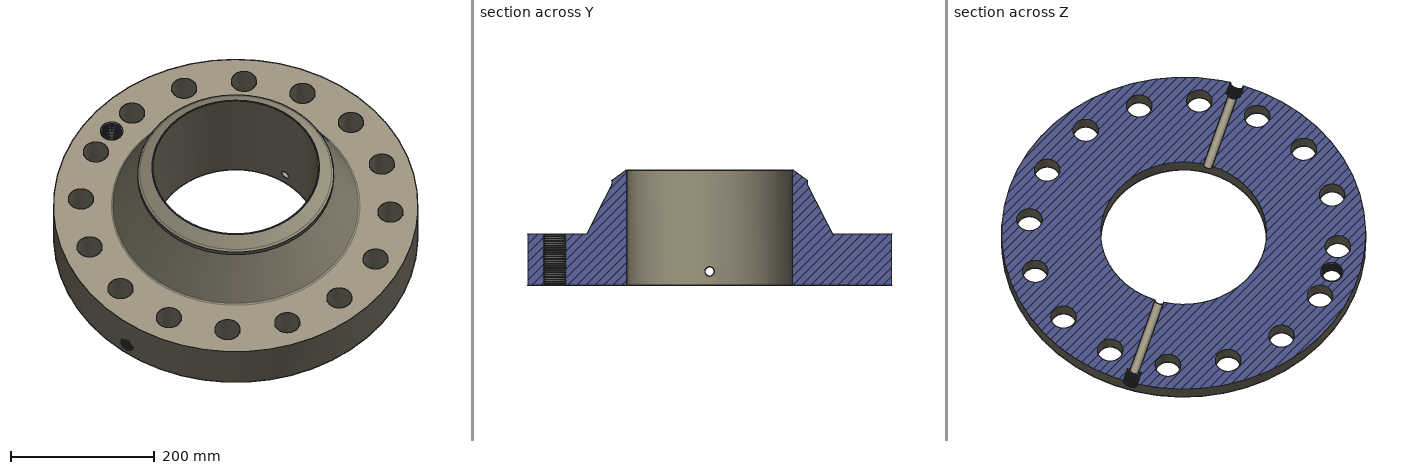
import cadquery as cq

flange_diameter = 508.0
flange_thickness = 71.5
overall_height = 160.5

bore_radius = 115.5
land_radius = 117.0
bevel_radius = 133.5
neck_radius = 136.5
neck_root_radius = 171.5
root_fillet = 2.5
bevel_height = 12.0
bevel_break_height = 2.0
neck_straight_height = 6.0

bolt_count = 16
bolt_circle_radius = 216.0
bolt_hole_diameter = 35.0

jack_major_diameter = 31.5
jack_minor_diameter = 28.0
jack_thread_count = 20

tap_height = 19.5
tap_bore_diameter = 12.5
tap_major_diameter = 21.0
tap_minor_diameter = 18.0
tap_pitch = 1.85
tap_thread_count = 11

flange_radius = flange_diameter / 2
cut_margin = 5.0


def make_body():
    """Flange, cone and weld end as one ring turned about Z."""
    bevel_bottom = overall_height - bevel_height
    straight_top = bevel_bottom - bevel_break_height
    straight_bottom = straight_top - neck_straight_height
    profile = [
        (bore_radius, 0),
        (flange_radius, 0),
        (flange_radius, flange_thickness),
        (neck_root_radius, flange_thickness),
        (neck_radius, straight_bottom),
        (neck_radius, straight_top),
        (bevel_radius, bevel_bottom),
        (land_radius, overall_height),
        (bore_radius, overall_height),
    ]
    body = cq.Workplane("XZ").polyline(profile).close().revolve(360, (0, 0), (0, 1))
    face_edges = cq.selectors.BoxSelector(
        (-flange_radius, -flange_radius, flange_thickness - root_fillet),
        (flange_radius, flange_radius, flange_thickness + root_fillet),
    )
    smallest_circle = cq.selectors.RadiusNthSelector(0)
    return body.edges(face_edges).edges(smallest_circle).fillet(root_fillet)


def bolt_holes():
    """Bolt holes straddling the X and Y axes."""
    half_step = 180 / bolt_count
    return (
        cq.Workplane("XY")
        .polarArray(bolt_circle_radius, half_step, 360, bolt_count)
        .circle(bolt_hole_diameter / 2)
        .extrude(flange_thickness)
    )


def threaded_core(major_diameter, minor_diameter, pitch, count):
    """Solid that cuts a thread shaped as stacked V rings, from Z = 0 upwards."""
    major_radius = major_diameter / 2
    minor_radius = minor_diameter / 2
    profile = [(0, 0)]
    for turn in range(count):
        profile.append((major_radius, turn * pitch))
        profile.append((minor_radius, (turn + 0.5) * pitch))
    length = count * pitch
    profile.append((major_radius, length))
    profile.append((0, length))
    return cq.Workplane("XZ").polyline(profile).close().revolve(360, (0, 0), (0, 1))


def jack_screw_hole():
    """Threaded hole through the whole flange."""
    pitch = flange_thickness / jack_thread_count
    core = threaded_core(jack_major_diameter, jack_minor_diameter, pitch, jack_thread_count)
    return core.translate((-bolt_circle_radius, 0, 0))


def pressure_tap():
    """Radial tap on the -Y side: threaded mouth and a small bore to the centre."""
    thread = threaded_core(tap_major_diameter, tap_minor_diameter, tap_pitch, tap_thread_count)
    mouth = cq.Workplane("XY").circle(tap_major_diameter / 2).extrude(-cut_margin)
    bore = cq.Workplane("XY").circle(tap_bore_diameter / 2).extrude(flange_radius)
    tap = thread.union(mouth).union(bore)
    return tap.rotate((0, 0, 0), (1, 0, 0), -90).translate((0, -flange_radius, tap_height))


result = make_body().cut(bolt_holes()).cut(jack_screw_hole())
for angle in (0, 180):
    result = result.cut(pressure_tap().rotate((0, 0, 0), (0, 0, 1), angle))